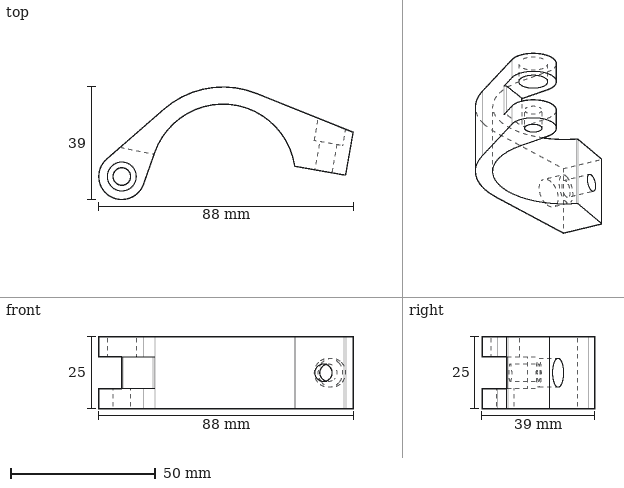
import cadquery as cq
import math

arm_height = 25.0
bore_radius = 25.0
outer_radius = 31.0
edge_radius = 0.5

pin_distance = 35.0
boss_radius = 8.0
pin_hole_diameter = 6.0
pin_head_diameter = 10.0
slot_height = 11.0
slot_floor_distance = 9.7
slot_floor_tilt = 11.4

clamp_tilt = 10.0
clamp_face_offset = 7.75
clamp_end = 41.7
clamp_thickness = 15.15
bolt_position = 33.9
bolt_hole_diameter = 6.0
bolt_grip = 10.0
bolt_head_diameter = 10.0

pin_x = -pin_distance
ear_thickness = (arm_height - slot_height) / 2
mid_height = arm_height / 2
cutter_size = 2 * pin_distance


def polar(radius, angle, center_x=0.0):
    """Point at an angle (radians) on a circle centred on the X axis."""
    return (center_x + radius * math.cos(angle), radius * math.sin(angle))


def clamp_point(along, across):
    """Point given along and across the turned clamp axes."""
    tilt = math.radians(clamp_tilt)
    x = along * math.cos(tilt) + across * math.sin(tilt)
    y = across * math.cos(tilt) - along * math.sin(tilt)
    return (x, y)


bore_corner = clamp_point(math.sqrt(bore_radius**2 - clamp_face_offset**2), clamp_face_offset)
face_corner = clamp_point(clamp_end, clamp_face_offset)
back_corner = clamp_point(clamp_end, clamp_face_offset + clamp_thickness)

outer_normal = math.pi - math.acos((outer_radius - boss_radius) / pin_distance)
inner_normal = math.pi - math.acos((bore_radius + boss_radius) / pin_distance)
back_corner_direction = math.atan2(back_corner[1], back_corner[0])
back_normal = back_corner_direction + math.acos(outer_radius / math.hypot(*back_corner))


def arm_body():
    """Boss, curved arm and clamp block as one full-height plate."""
    boss_outer = polar(boss_radius, outer_normal, pin_x)
    boss_inner = polar(boss_radius, inner_normal - math.pi, pin_x)
    boss_middle = polar(boss_radius, (outer_normal + inner_normal + math.pi) / 2, pin_x)
    return (
        cq.Workplane("XY")
        .moveTo(*boss_outer)
        .lineTo(*polar(outer_radius, outer_normal))
        .threePointArc((0.0, outer_radius), polar(outer_radius, back_normal))
        .lineTo(*back_corner)
        .lineTo(*face_corner)
        .lineTo(*bore_corner)
        .threePointArc((0.0, bore_radius), polar(bore_radius, inner_normal))
        .lineTo(*boss_inner)
        .threePointArc(boss_middle, boss_outer)
        .close()
        .extrude(arm_height)
    )


def round_clamp_corners(body):
    """Round the two upright edges of the clamping face."""
    for corner in (face_corner, bore_corner):
        edge = cq.NearestToPointSelector((*corner, mid_height))
        body = body.edges(edge).fillet(edge_radius)
    return body


def cut_hinge_slot(body):
    """Cut the gap between the ears and round both ends of its floor."""
    cutter = (
        cq.Workplane("XY")
        .box(cutter_size, cutter_size, slot_height)
        .translate((0, slot_floor_distance - cutter_size / 2, mid_height))
        .rotate((0, 0, 0), (0, 0, 1), -slot_floor_tilt)
        .translate((pin_x, 0, 0))
    )
    hinge_side = (
        cq.Workplane("XY")
        .box(cutter_size, cutter_size, arm_height)
        .translate((-cutter_size / 2, 0, mid_height))
    )
    body = body.cut(cutter.intersect(hinge_side))
    floor_ends = cq.selectors.LengthNthSelector(1)
    return body.edges("|Z").edges(floor_ends).fillet(edge_radius)


def pin_holes():
    """Pin hole through the lower ear and a wider one through the upper ear."""
    lower = cq.Workplane("XY").center(pin_x, 0).circle(pin_hole_diameter / 2).extrude(arm_height)
    upper = (
        cq.Workplane("XY", origin=(pin_x, 0, arm_height - ear_thickness))
        .circle(pin_head_diameter / 2)
        .extrude(ear_thickness)
    )
    return lower.union(upper)


def bolt_cylinder(diameter, start):
    """Cylinder square to the clamping face, from a start height across the clamp axes."""
    plane = cq.Plane(
        origin=(*clamp_point(bolt_position, start), mid_height),
        xDir=(0, 0, 1),
        normal=(*clamp_point(0, 1), 0),
    )
    return cq.Workplane(plane).circle(diameter / 2).extrude(cutter_size)


def bolt_hole():
    """Bolt hole through the clamp block with a pocket for the head at the back."""
    shank = bolt_cylinder(bolt_hole_diameter, 0)
    head = bolt_cylinder(bolt_head_diameter, clamp_face_offset + bolt_grip)
    return shank.union(head)


arm = cut_hinge_slot(round_clamp_corners(arm_body()))
result = arm.cut(pin_holes()).cut(bolt_hole())